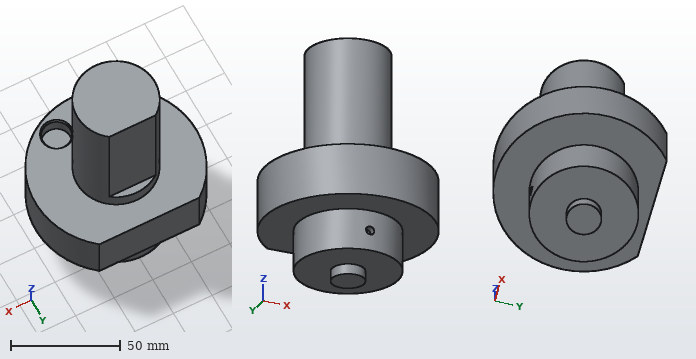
import cadquery as cq
import math

FLANGE_DIAMETER = 83.0
FLANGE_THICKNESS = 25.0
FLANGE_FLAT_OFFSET = 32.4

SHANK_DIAMETER = 40.0
SHANK_LENGTH = 63.0
SHANK_FLAT_OFFSET = 16.0
SHANK_COLLAR_HEIGHT = 7.0

BOSS_DIAMETER = 50.0
BOSS_LENGTH = 20.0
TIP_DIAMETER = 16.0
TIP_LENGTH = 5.0

POCKET_DIAMETER = 14.0
POCKET_DEPTH = 7.5
POCKET_CHAMFER_HEIGHT = 1.0
POCKET_CHAMFER_ANGLE = 30.0
POCKET_CIRCLE_RADIUS = 32.0
POCKET_ANGLE = -60.0

SIDE_HOLE_DIAMETER = 4.0
SIDE_HOLE_DEPTH = 4.0
SIDE_HOLE_POINT_ANGLE = 130.0
SIDE_HOLE_HEIGHT = -BOSS_LENGTH / 2


def cylinder(diameter, length, base):
    """Upright cylinder on the part's axis, starting at height base."""
    return cq.Workplane("XY").workplane(offset=base).circle(diameter / 2).extrude(length)


def cut_flat(body, diameter, offset, base, length):
    """Remove everything beyond Y = offset from a round body, over the given height range."""
    waste = (
        cq.Workplane("XY")
        .box(diameter, diameter, length, centered=(True, False, False))
        .translate((0, offset, base))
    )
    return body.cut(waste)


def flange():
    body = cylinder(FLANGE_DIAMETER, FLANGE_THICKNESS, 0)
    return cut_flat(body, FLANGE_DIAMETER, FLANGE_FLAT_OFFSET, 0, FLANGE_THICKNESS)


def shank():
    body = cylinder(SHANK_DIAMETER, SHANK_LENGTH, FLANGE_THICKNESS)
    flat_base = FLANGE_THICKNESS + SHANK_COLLAR_HEIGHT
    flat_length = SHANK_LENGTH - SHANK_COLLAR_HEIGHT
    return cut_flat(body, SHANK_DIAMETER, SHANK_FLAT_OFFSET, flat_base, flat_length)


def pocket():
    """Blind round pocket in the flange top with a chamfered mouth."""
    bore = cylinder(POCKET_DIAMETER, POCKET_DEPTH, FLANGE_THICKNESS - POCKET_DEPTH)
    mouth_growth = POCKET_CHAMFER_HEIGHT * math.tan(math.radians(POCKET_CHAMFER_ANGLE))
    mouth = (
        cq.Workplane("XY")
        .workplane(offset=FLANGE_THICKNESS)
        .circle(POCKET_DIAMETER / 2 + mouth_growth)
        .extrude(-POCKET_CHAMFER_HEIGHT, taper=POCKET_CHAMFER_ANGLE)
    )
    cutter = bore.union(mouth).translate((POCKET_CIRCLE_RADIUS, 0, 0))
    return cutter.rotate((0, 0, 0), (0, 0, 1), POCKET_ANGLE)


def side_hole():
    """Blind drilled hole with a conical end, in the -Y side of the boss at half its height."""
    mouth_y = -BOSS_DIAMETER / 2
    radius = SIDE_HOLE_DIAMETER / 2
    point_length = radius / math.tan(math.radians(SIDE_HOLE_POINT_ANGLE / 2))
    profile = (
        cq.Workplane("XY")
        .workplane(offset=SIDE_HOLE_HEIGHT)
        .moveTo(0, mouth_y)
        .lineTo(radius, mouth_y)
        .lineTo(radius, mouth_y + SIDE_HOLE_DEPTH)
        .lineTo(0, mouth_y + SIDE_HOLE_DEPTH + point_length)
        .close()
    )
    return profile.revolve(360, (0, 0, 0), (0, 1, 0))


boss = cylinder(BOSS_DIAMETER, BOSS_LENGTH, -BOSS_LENGTH)
tip = cylinder(TIP_DIAMETER, TIP_LENGTH, -BOSS_LENGTH - TIP_LENGTH)

result = flange().union(shank()).union(boss).union(tip).cut(pocket()).cut(side_hole())